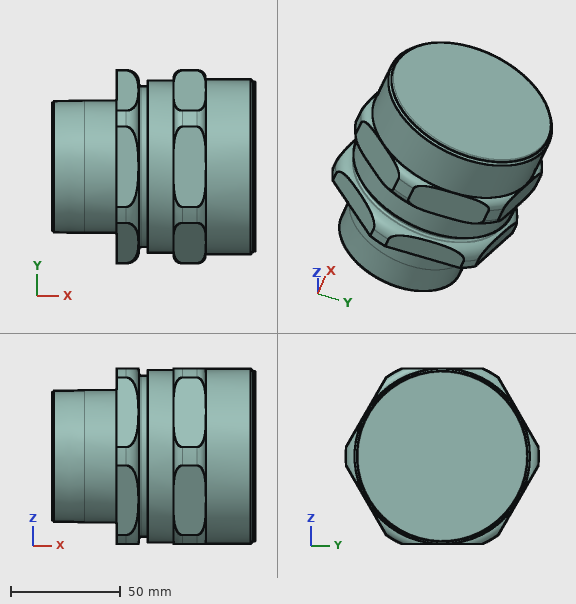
import cadquery as cq
import math


hex_across_flats = 80.0
hex_corner_diameter = 88.0

shank_diameter = 60.4
tip_diameter = 59.8
tip_chamfer = 0.9
taper_end = 14.7
entry_hex_start = 29.3
entry_hex_end = 39.6
entry_round = 5.9
neck_diameter = 73.3
shank_fillet = 0.6
neck_fillet = 0.9

sleeve_start = 43.35
sleeve_diameter = 78.6
sleeve_chamfer = 0.3

cap_start = 55.2
cap_hex_end = 69.9
cap_end = 91.3
skirt_diameter = 79.9
skirt_chamfer = 1.1
cap_round = (hex_corner_diameter - skirt_diameter) / 2

seal_end = 92.4
seal_diameter = 77.5
seal_fillet = 0.5


def quarter_middle(center_x, center_radius, arc_radius, x_side, radius_side):
    """Middle point of a quarter arc; the sides (+1 or -1) choose the quadrant."""
    offset = arc_radius * math.sqrt(0.5)
    return (center_x + x_side * offset, center_radius + radius_side * offset)


def revolve_about_x(profile):
    """Solid of revolution from a half profile of (station, radius) points."""
    return profile.close().revolve(360, (0, 0, 0), (1, 0, 0))


def hex_prism(start, end):
    """Hexagonal bar along X with two flats facing up and down."""
    corner_to_corner = hex_across_flats / math.cos(math.pi / 6)
    return (
        cq.Workplane("YZ")
        .workplane(offset=start)
        .polygon(6, corner_to_corner)
        .extrude(end - start)
    )


def rounded_hexagon(start, end, round_radius, round_start):
    """Hexagon whose corners are turned down and rounded at the far end, or at both ends."""
    outer = hex_corner_diameter / 2
    inner = outer - round_radius
    profile = cq.Workplane("XY").moveTo(start, 0)
    if round_start:
        profile = profile.lineTo(start, inner).threePointArc(
            quarter_middle(start + round_radius, inner, round_radius, -1, 1),
            (start + round_radius, outer),
        )
    else:
        profile = profile.lineTo(start, outer)
    profile = (
        profile.lineTo(end - round_radius, outer)
        .threePointArc(quarter_middle(end - round_radius, inner, round_radius, 1, 1), (end, inner))
        .lineTo(end, 0)
    )
    return revolve_about_x(profile).intersect(hex_prism(start, end))


def make_entry_body():
    tip = tip_diameter / 2
    shank = shank_diameter / 2
    neck = neck_diameter / 2
    core = revolve_about_x(
        cq.Workplane("XY")
        .moveTo(0, 0)
        .lineTo(0, tip - tip_chamfer)
        .lineTo(tip_chamfer, tip)
        .lineTo(taper_end, shank)
        .lineTo(entry_hex_start - shank_fillet, shank)
        .threePointArc(
            quarter_middle(entry_hex_start - shank_fillet, shank + shank_fillet, shank_fillet, 1, -1),
            (entry_hex_start, shank + shank_fillet),
        )
        .lineTo(entry_hex_end, shank + shank_fillet)
        .lineTo(entry_hex_end, neck + neck_fillet)
        .threePointArc(
            quarter_middle(entry_hex_end + neck_fillet, neck + neck_fillet, neck_fillet, -1, -1),
            (entry_hex_end + neck_fillet, neck),
        )
        .lineTo(sleeve_start, neck)
        .lineTo(sleeve_start, 0)
    )
    return core.union(rounded_hexagon(entry_hex_start, entry_hex_end, entry_round, round_start=False))


def make_sleeve():
    return (
        cq.Workplane("YZ")
        .workplane(offset=sleeve_start)
        .circle(sleeve_diameter / 2)
        .extrude(cap_start - sleeve_start)
        .faces("<X")
        .chamfer(sleeve_chamfer)
    )


def make_cap():
    skirt = (
        cq.Workplane("YZ")
        .workplane(offset=cap_hex_end)
        .circle(skirt_diameter / 2)
        .extrude(cap_end - cap_hex_end)
        .faces(">X")
        .chamfer(skirt_chamfer)
    )
    return skirt.union(rounded_hexagon(cap_start, cap_hex_end, cap_round, round_start=True))


def make_seal():
    return (
        cq.Workplane("YZ")
        .workplane(offset=cap_end)
        .circle(seal_diameter / 2)
        .extrude(seal_end - cap_end)
        .faces(">X")
        .fillet(seal_fillet)
    )


entry_body = make_entry_body()
sleeve = make_sleeve()
cap = make_cap()
seal = make_seal()

result = cq.Compound.makeCompound([entry_body.val(), sleeve.val(), cap.val(), seal.val()])